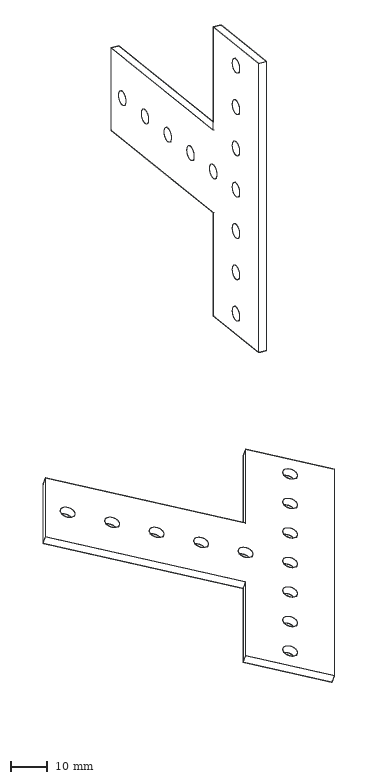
import cadquery as cq

bar_length = 88.9
bar_hole_count = 7
stem_hole_count = 5
thickness = 2.5
hole_diameter = 4.2

pitch = bar_length / bar_hole_count
strip_width = 2 * pitch
edge_distance = pitch / 2
stem_reach = stem_hole_count * pitch + edge_distance


def hole_positions():
    """Centres in the XZ plane, measured from the crossing of the two centrelines."""
    middle = (bar_hole_count - 1) / 2
    bar_holes = [(0, (i - middle) * pitch) for i in range(bar_hole_count)]
    stem_holes = [(-i * pitch, 0) for i in range(1, stem_hole_count + 1)]
    return bar_holes + stem_holes


bar = cq.Workplane("XY").box(strip_width, thickness, bar_length)
stem = (
    cq.Workplane("XY")
    .box(stem_reach, thickness, strip_width)
    .translate((-stem_reach / 2, 0, 0))
)
plate = bar.union(stem)

holes = (
    cq.Workplane("XZ", origin=(0, thickness / 2, 0))
    .pushPoints(hole_positions())
    .circle(hole_diameter / 2)
    .extrude(thickness)
)
result = plate.cut(holes)